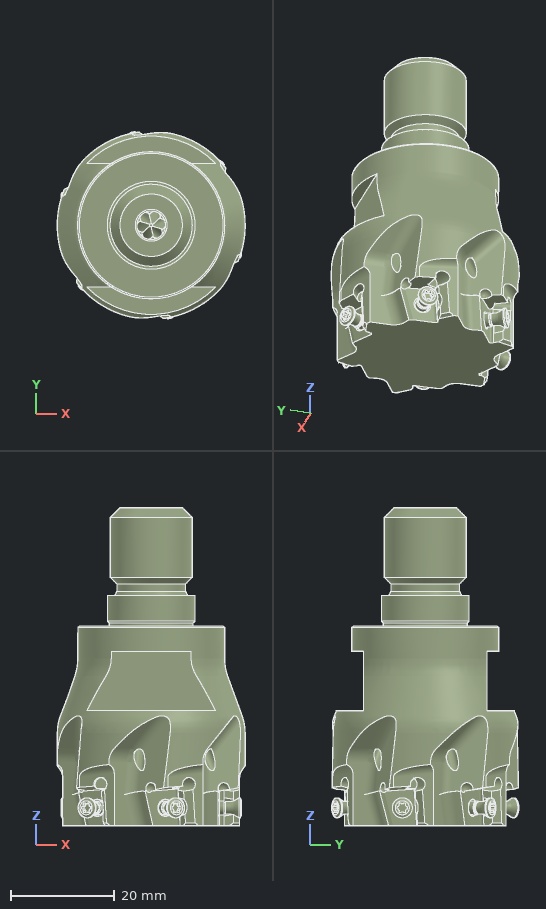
import cadquery as cq
import math


TEETH = 6
PITCH = 360 / TEETH
REACH = 21.6
BELOW = 3.1

TOTAL_HEIGHT = 61.8
SHANK_R = 8.0
SHANK_CHAMFER = 1.9
SHANK_BOTTOM = 48.25
NECK_R = 6.7
NECK_BOTTOM = 45.55
NECK_FLARE = 0.45
COLLAR_R = 8.5
COLLAR_TOP = 44.75
COLLAR_BOTTOM = 39.75
UNDERCUT_R = 8.15
UNDERCUT_TOP = COLLAR_BOTTOM - (COLLAR_R - UNDERCUT_R)
BORE_R = 2.8
BORE_CHAMFER = 0.3
BORE_CHAMFER_DEPTH = 0.75
BORE_BOTTOM = 34.6

FLANGE_R = 14.3
FLANGE_TOP = 38.8
FLANGE_CHAMFER = 0.3
HEAD_R = 36.5 / 2
HEAD_STRAIGHT_TOP = 18.0
CONE_ANGLE = 20.0
CONE_BLEND_R = 10.0
WRENCH_FLAT_Y = 12.0
WRENCH_FLAT_BOTTOM = 22.4
WRENCH_FLAT_TOP = 33.85

LAND_S = 17.2
LAND_TOP = 9.8
LAND_TOP_CLOCKWISE = 2.2
LAND_BLEND_R = 2.0
LAND_TILT = 6.0

FLOOR_S = 10.0
FLOOR_TOP = 12.35
RAMP_ANGLE = 38.6
RAMP_BLEND_R = 4.25
WALL_POINT = (17.05, -5.95, 17.5)
WALL_ANGLE = 24.5
WALL_TILT = -5.0
WALL_BLEND_R = 2.4
LOWER_WALL_TOP = 7.05
LOWER_WALL_CLOCKWISE = 8.05
LOWER_WALL_TILT = 14.5
LOWER_ROOT_CLOCKWISE = 10.0
LOWER_BLEND_R = 2.5

SEAT_S = 13.2
SEAT_WALL_CLOCKWISE = 2.2
GROOVE_MIDDLE = (13.65, -1.7)
GROOVE_END = (14.1, -1.9)
BACK_WALL_KNEE = (15.95, -1.7)
BACK_WALL_END = (18.4, 1.1)
POCKET_CEILING = 7.0
POCKET_CEILING_SLOPE = 0.16
POCKET_TILT = 4.0
POCKET_CLOCKWISE_END = 11.1
SEAT_EDGE_CHAMFER = (0.25, 0.85)
CORNER_HOLE_R = 1.3
CORNER_HOLE_MOUTH = (16.9, -1.6, 8.1)
CORNER_HOLE_ANGLE = 25.0
CORNER_HOLE_DEPTH = 2.8
HEEL_CHAMFER = 0.75
HEEL_LENGTH = 2.5
SCREW_HEAD_CLEARANCE_R = 3.1
CEILING_RELIEF_R = 1.2
CEILING_RELIEF_CENTER = (14.1, -8.2, 7.2)

COOLANT_R = 1.1
COOLANT_START = (0.6, -1.05, 35.2)
COOLANT_RUNOUT = 1.85
COOLANT_EXIT = (11.55, -9.35, 12.65)

SCREW_CLOCKWISE = 4.45
SCREW_Z = 3.5
SCREW_START = 8.65
THREAD_R = 1.35
THREAD_END = 14.1
SCREW_NECK_R = 1.05
SCREW_NECK_END = 14.45
SHOULDER_R = 1.25
SHOULDER_END = 15.45
HEAD_CONE_START = 16.0
HEAD_CONE_START_R = 1.35
HEAD_CONE_END = 17.05
SCREW_HEAD_R = 3.9 / 2
SCREW_RIM_END = 17.3
SCREW_TOP = 17.55
SCREW_FACE_R = 1.35
SOCKET_R = 0.8
SOCKET_LOBES = 6
SOCKET_LOBE_R = 0.25
SOCKET_DEPTH = 0.9
HOLE_MOUTH_R = 1.65


def sectors(tool):
    """Copies of a sector shape, one for each tooth."""
    return [tool.rotate((0, 0, 0), (0, 0, 1), PITCH * k) for k in range(TEETH)]


def about_radial_axis(tool, clockwise, z, angle):
    """Turn a sector shape about a radial line; a positive angle moves its top clockwise."""
    return tool.rotate((0, -clockwise, z), (1, -clockwise, z), angle)


def blank():
    """Revolved shank and head, with the bore and the two wrench flats."""
    slope = math.radians(CONE_ANGLE)
    blend_dz = CONE_BLEND_R * math.sin(slope)
    blend_dr = CONE_BLEND_R * (1 - math.cos(slope))
    half_dz = CONE_BLEND_R * math.sin(slope / 2)
    half_dr = CONE_BLEND_R * (1 - math.cos(slope / 2))
    cone_bottom = HEAD_STRAIGHT_TOP + blend_dz
    cone_top = cone_bottom + (HEAD_R - FLANGE_R - 2 * blend_dr) / math.tan(slope)
    flange_bottom = cone_top + blend_dz
    solid = (
        cq.Workplane("XZ")
        .moveTo(0, 0)
        .lineTo(HEAD_R, 0)
        .lineTo(HEAD_R, HEAD_STRAIGHT_TOP)
        .threePointArc((HEAD_R - half_dr, HEAD_STRAIGHT_TOP + half_dz), (HEAD_R - blend_dr, cone_bottom))
        .lineTo(FLANGE_R + blend_dr, cone_top)
        .threePointArc((FLANGE_R + half_dr, flange_bottom - half_dz), (FLANGE_R, flange_bottom))
        .lineTo(FLANGE_R, FLANGE_TOP - FLANGE_CHAMFER)
        .lineTo(FLANGE_R - FLANGE_CHAMFER, FLANGE_TOP)
        .lineTo(UNDERCUT_R, FLANGE_TOP)
        .lineTo(UNDERCUT_R, UNDERCUT_TOP)
        .lineTo(COLLAR_R, COLLAR_BOTTOM)
        .lineTo(COLLAR_R, COLLAR_TOP)
        .lineTo(NECK_R + NECK_FLARE, COLLAR_TOP)
        .lineTo(NECK_R, NECK_BOTTOM)
        .lineTo(NECK_R, SHANK_BOTTOM - (SHANK_R - NECK_R))
        .lineTo(SHANK_R, SHANK_BOTTOM)
        .lineTo(SHANK_R, TOTAL_HEIGHT - SHANK_CHAMFER)
        .lineTo(SHANK_R - SHANK_CHAMFER, TOTAL_HEIGHT)
        .lineTo(0, TOTAL_HEIGHT)
        .close()
        .revolve(360, (0, 0), (0, 1))
    )
    bore = (
        cq.Workplane("XY", origin=(0, 0, BORE_BOTTOM))
        .circle(BORE_R)
        .extrude(TOTAL_HEIGHT - BORE_BOTTOM)
        .faces(">Z")
        .workplane()
        .circle(BORE_R + BORE_CHAMFER)
        .workplane(offset=-BORE_CHAMFER_DEPTH)
        .circle(BORE_R)
        .loft(combine=True)
    )
    solid = solid.cut(bore)
    flat_height = WRENCH_FLAT_TOP - WRENCH_FLAT_BOTTOM
    for side in (-1, 1):
        flat = cq.Workplane("XY", origin=(0, side * (WRENCH_FLAT_Y + REACH / 2), WRENCH_FLAT_BOTTOM)).box(
            2 * REACH, REACH, flat_height, centered=(True, True, False)
        )
        solid = solid.cut(flat)
    return solid


def land_cut():
    """Material outside the flat land of a tooth, blended into the cylinder above."""
    corner = LAND_BLEND_R * math.sqrt(0.5)
    center_s = LAND_S + LAND_BLEND_R
    tool = (
        cq.Workplane("XZ")
        .moveTo(LAND_S, -LAND_TOP)
        .lineTo(LAND_S, LAND_TOP)
        .threePointArc((center_s - corner, LAND_TOP + corner), (center_s, LAND_TOP + LAND_BLEND_R))
        .lineTo(REACH, LAND_TOP + LAND_BLEND_R)
        .lineTo(REACH, -LAND_TOP)
        .close()
        .extrude(REACH / 2, both=True)
    )
    return about_radial_axis(tool, LAND_TOP_CLOCKWISE, LAND_TOP, LAND_TILT)


def upper_gullet():
    """Gullet with a flat floor, a ramp that runs out at the top and a steep wall."""
    ramp = math.radians(RAMP_ANGLE)
    ramp_start_s = FLOOR_S + RAMP_BLEND_R * (1 - math.cos(ramp))
    ramp_start_z = FLOOR_TOP + RAMP_BLEND_R * math.sin(ramp)
    blend_mid = (
        FLOOR_S + RAMP_BLEND_R * (1 - math.cos(ramp / 2)),
        FLOOR_TOP + RAMP_BLEND_R * math.sin(ramp / 2),
    )
    floor_and_ramp = (
        cq.Workplane("XZ")
        .moveTo(FLOOR_S, -FLOOR_TOP)
        .lineTo(FLOOR_S, FLOOR_TOP)
        .threePointArc(blend_mid, (ramp_start_s, ramp_start_z))
        .lineTo(REACH, ramp_start_z + (REACH - ramp_start_s) / math.tan(ramp))
        .lineTo(REACH, -FLOOR_TOP)
        .close()
        .extrude(REACH)
    )
    wall = (
        cq.Workplane("XY")
        .box(4 * REACH, 2 * REACH, 4 * REACH, centered=(True, False, True))
        .rotate((0, 0, 0), (1, 0, 0), WALL_TILT)
        .rotate((0, 0, 0), (0, 0, 1), WALL_ANGLE)
        .translate(WALL_POINT)
    )
    tool = floor_and_ramp.cut(wall)
    foot_of_wall = cq.selectors.BoxSelector((0, -REACH / 2, -BELOW), (HEAD_R, 0, 2 * REACH))
    return tool.edges(foot_of_wall).fillet(WALL_BLEND_R)


def lower_gullet():
    """Leaning lower part of the gullet, below the level of the seat."""
    chamfer_s, chamfer_clockwise = SEAT_EDGE_CHAMFER
    tool = (
        cq.Workplane("XY", origin=(0, 0, -BELOW))
        .moveTo(FLOOR_S, -REACH)
        .lineTo(FLOOR_S, -LOWER_ROOT_CLOCKWISE)
        .lineTo(SEAT_S - chamfer_s, -LOWER_WALL_CLOCKWISE - chamfer_clockwise)
        .lineTo(SEAT_S, -LOWER_WALL_CLOCKWISE)
        .lineTo(REACH, -LOWER_WALL_CLOCKWISE)
        .lineTo(REACH, -REACH)
        .close()
        .extrude(LOWER_WALL_TOP + BELOW)
    )
    root = cq.selectors.NearestToPointSelector((FLOOR_S, -LOWER_ROOT_CLOCKWISE, LOWER_WALL_TOP / 2))
    tool = tool.edges(root).fillet(LOWER_BLEND_R)
    return about_radial_axis(tool, LOWER_WALL_CLOCKWISE, LOWER_WALL_TOP, LOWER_WALL_TILT)


def insert_pocket():
    """Seat for a tangential insert, with a corner groove at the foot of its back wall."""
    plan = (
        cq.Workplane("XY", origin=(0, 0, -BELOW))
        .moveTo(SEAT_S, -POCKET_CLOCKWISE_END)
        .lineTo(SEAT_S, -SEAT_WALL_CLOCKWISE)
        .threePointArc(GROOVE_MIDDLE, GROOVE_END)
        .lineTo(*BACK_WALL_KNEE)
        .lineTo(*BACK_WALL_END)
        .lineTo(REACH, BACK_WALL_END[1])
        .lineTo(REACH, -POCKET_CLOCKWISE_END)
        .close()
        .extrude(REACH)
    )
    side = (
        cq.Workplane("XZ")
        .moveTo(SEAT_S, -BELOW)
        .lineTo(SEAT_S, POCKET_CEILING)
        .lineTo(REACH, POCKET_CEILING + POCKET_CEILING_SLOPE * (REACH - SEAT_S))
        .lineTo(REACH, -BELOW)
        .close()
        .extrude(REACH, both=True)
    )
    return about_radial_axis(plan.intersect(side), SCREW_CLOCKWISE, SCREW_Z, POCKET_TILT)


def corner_hole():
    """Relief hole where the back wall meets the ceiling of the pocket."""
    return (
        cq.Workplane("YZ", origin=(-CORNER_HOLE_DEPTH, 0, 0))
        .circle(CORNER_HOLE_R)
        .extrude(2 * CORNER_HOLE_DEPTH)
        .rotate((0, 0, 0), (0, 0, 1), CORNER_HOLE_ANGLE)
        .translate(CORNER_HOLE_MOUTH)
    )


def heel_chamfer():
    """Chamfer along the bottom edge of the back wall."""
    knee = cq.Vector(*BACK_WALL_KNEE)
    along_wall = cq.Vector(*BACK_WALL_END) - knee
    return (
        cq.Workplane(cq.Plane(origin=knee, xDir=(0, 0, 1), normal=along_wall))
        .moveTo(HEEL_CHAMFER, 0)
        .lineTo(-HEEL_CHAMFER, -2 * HEEL_CHAMFER)
        .lineTo(-HEEL_CHAMFER, 0)
        .close()
        .extrude(HEEL_LENGTH, both=True)
    )


def screw_head_clearance():
    """Round relief in the back wall, beside the head of the screw."""
    groove_s = GROOVE_END[0]
    return (
        cq.Workplane("YZ", origin=(groove_s, -SCREW_CLOCKWISE, SCREW_Z))
        .circle(SCREW_HEAD_CLEARANCE_R)
        .extrude(REACH - groove_s)
    )


def ceiling_relief():
    """Spherical relief at the leading end of the pocket ceiling."""
    return cq.Workplane("XY").sphere(CEILING_RELIEF_R).translate(CEILING_RELIEF_CENTER)


def coolant_hole():
    """Straight hole from the bottom of the bore into the gullet."""
    start = cq.Vector(*COOLANT_START)
    path = cq.Vector(*COOLANT_EXIT) - start
    return cq.Workplane(cq.Solid.makeCylinder(COOLANT_R, path.Length + COOLANT_RUNOUT, start, path))


def screw_hole():
    """Threaded hole in the seat, countersunk at its mouth."""
    mouth = HOLE_MOUTH_R - THREAD_R
    return (
        cq.Workplane("XY", origin=(0, -SCREW_CLOCKWISE, SCREW_Z))
        .moveTo(SCREW_START, 0)
        .lineTo(SCREW_START, THREAD_R)
        .lineTo(SEAT_S - mouth, THREAD_R)
        .lineTo(SEAT_S, HOLE_MOUTH_R)
        .lineTo(SEAT_S, 0)
        .close()
        .revolve(360, (0, 0), (1, 0))
    )


def insert_screw():
    """Countersunk screw with a six-lobe socket, standing on the seat of the first sector."""
    screw = (
        cq.Workplane("XY", origin=(0, -SCREW_CLOCKWISE, SCREW_Z))
        .moveTo(SCREW_START, 0)
        .lineTo(SCREW_START, THREAD_R)
        .lineTo(THREAD_END, THREAD_R)
        .lineTo(THREAD_END, SCREW_NECK_R)
        .lineTo(SCREW_NECK_END, SCREW_NECK_R)
        .lineTo(SCREW_NECK_END, SHOULDER_R)
        .lineTo(SHOULDER_END, SHOULDER_R)
        .lineTo(HEAD_CONE_START, HEAD_CONE_START_R)
        .lineTo(HEAD_CONE_END, SCREW_HEAD_R)
        .lineTo(SCREW_RIM_END, SCREW_HEAD_R)
        .lineTo(SCREW_TOP, SCREW_FACE_R)
        .lineTo(SCREW_TOP, 0)
        .close()
        .revolve(360, (0, 0), (1, 0))
    )
    face = cq.Workplane("YZ", origin=(SCREW_TOP, -SCREW_CLOCKWISE, SCREW_Z))
    socket = face.circle(SOCKET_R).extrude(-SOCKET_DEPTH)
    lobes = face.polarArray(SOCKET_R, 0, 360, SOCKET_LOBES).circle(SOCKET_LOBE_R).extrude(-SOCKET_DEPTH)
    return screw.cut(socket).cut(lobes)


def cutter_body():
    """Blank with the lands, gullets, pockets and holes of all its teeth cut out."""
    solid = blank()
    features = (
        land_cut(),
        upper_gullet(),
        lower_gullet(),
        insert_pocket(),
        corner_hole(),
        heel_chamfer(),
        screw_head_clearance(),
        ceiling_relief(),
        coolant_hole(),
        screw_hole(),
    )
    for feature in features:
        for cut in sectors(feature):
            solid = solid.cut(cut)
    return solid


body = cutter_body()
screws = sectors(insert_screw())
result = cq.Compound.makeCompound([body.val(), *[screw.val() for screw in screws]])